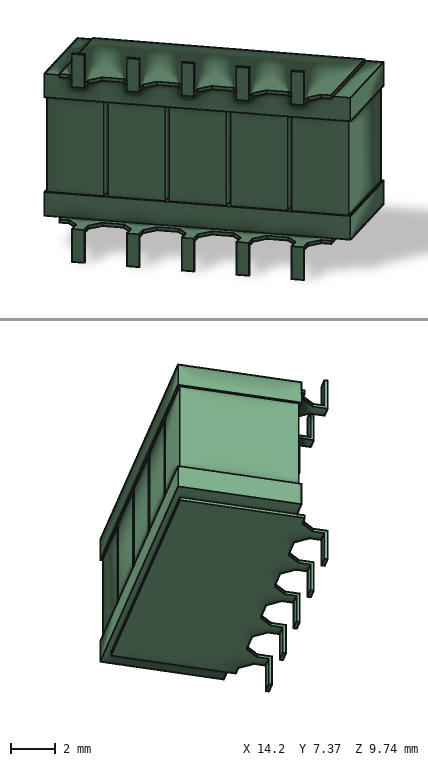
import cadquery as cq

CHIP_COUNT = 5
STACK_LENGTH = 14.22
CHIP_PITCH = STACK_LENGTH / CHIP_COUNT
BAND_DEPTH = 5.72
BAND_HEIGHT = 1.11
BAND_OVERHANG = 0.1
CHIP_HEIGHT = 4.44

TOTAL_DEPTH = 7.37
TOTAL_HEIGHT = 9.74
FRAME_LENGTH = 12.61
SHEET_THICKNESS = 0.15
FRAME_BACK_INSET = 0.3
LEAD_COUNT = 5
LEAD_PITCH = 2.55
LEAD_WIDTH = 0.57
LEAD_REACH = 1.3
LEAD_ROOT_WIDTH = 1.54
LEAD_ROOT_DEPTH = 0.6

BACK_Y = TOTAL_DEPTH / 2
FRONT_Y = -TOTAL_DEPTH / 2
BAND_CENTER_Y = BACK_Y - BAND_DEPTH / 2
BAND_INNER_Z = CHIP_HEIGHT / 2
BAND_OUTER_Z = BAND_INNER_Z + BAND_HEIGHT
PLATE_BACK_Y = BACK_Y - FRAME_BACK_INSET
PLATE_FRONT_Y = FRONT_Y + LEAD_REACH
ROOT_FRONT_Y = PLATE_FRONT_Y - LEAD_ROOT_DEPTH
LEAD_HEIGHT = TOTAL_HEIGHT / 2 - BAND_OUTER_Z


def row_positions(count, pitch):
    """X places of a row of equal items centred on the origin."""
    return [(i - (count - 1) / 2) * pitch for i in range(count)]


def make_chip(center_x):
    """Plain ceramic block that fills the space between the two bands."""
    return cq.Workplane("XY").box(
        CHIP_PITCH - 2 * BAND_OVERHANG,
        BAND_DEPTH - 2 * BAND_OVERHANG,
        CHIP_HEIGHT,
    ).translate((center_x, BAND_CENTER_Y, 0))


def make_band():
    """Upper end band that spans all the chips."""
    return (
        cq.Workplane("XY", origin=(0, BAND_CENTER_Y, BAND_INNER_Z))
        .rect(STACK_LENGTH, BAND_DEPTH)
        .extrude(BAND_HEIGHT)
    )


def make_frame_plate():
    """Flat plate with a tapered root and a straight tongue for each lead."""
    half_length = FRAME_LENGTH / 2
    half_root = LEAD_ROOT_WIDTH / 2
    half_lead = LEAD_WIDTH / 2
    outline = [(half_length, PLATE_BACK_Y), (-half_length, PLATE_BACK_Y), (-half_length, PLATE_FRONT_Y)]
    for x in row_positions(LEAD_COUNT, LEAD_PITCH):
        outline += [
            (x - half_root, PLATE_FRONT_Y),
            (x - half_lead, ROOT_FRONT_Y),
            (x - half_lead, FRONT_Y),
            (x + half_lead, FRONT_Y),
            (x + half_lead, ROOT_FRONT_Y),
            (x + half_root, PLATE_FRONT_Y),
        ]
    outline.append((half_length, PLATE_FRONT_Y))
    return (
        cq.Workplane("XY", origin=(0, 0, BAND_OUTER_Z))
        .polyline(outline)
        .close()
        .extrude(SHEET_THICKNESS)
    )


def make_lead_legs():
    """Legs bent upright at the front ends of the tongues."""
    leg_y = FRONT_Y + SHEET_THICKNESS / 2
    return (
        cq.Workplane("XY", origin=(0, leg_y, BAND_OUTER_Z))
        .pushPoints([(x, 0) for x in row_positions(LEAD_COUNT, LEAD_PITCH)])
        .rect(LEAD_WIDTH, SHEET_THICKNESS)
        .extrude(LEAD_HEIGHT)
    )


def make_upper_terminal():
    """End band and lead frame as one solid."""
    return make_band().union(make_frame_plate()).union(make_lead_legs())


chips = [make_chip(x) for x in row_positions(CHIP_COUNT, CHIP_PITCH)]
upper_terminal = make_upper_terminal()
lower_terminal = upper_terminal.mirror("XY")

result = cq.Compound.makeCompound(
    [*[chip.val() for chip in chips], upper_terminal.val(), lower_terminal.val()]
)